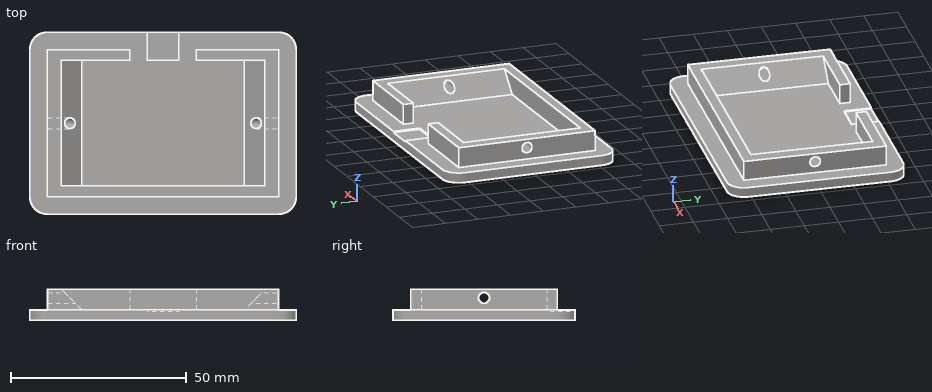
import cadquery as cq

plate_length = 75.8
plate_width = 51.8
plate_thickness = 2.95
total_height = 8.9
margin = 5.0

wall_height = total_height - plate_thickness
wall_length = plate_length - 2 * margin
wall_width = plate_width - 2 * margin
end_rim = 3.95
end_slope_run = 5.9
side_rim = 3.0
cavity_length = wall_length - 2 * end_rim
cavity_width = wall_width - 2 * side_rim

opening_length = 18.95
recess_length = 9.1
recess_width = margin + side_rim
recess_depth = 0.4

hole_diameter = 3.0
hole_below_rim = 2.5


def make_plate():
    plate = cq.Workplane("XY").box(plate_length, plate_width, plate_thickness, centered=(True, True, False))
    return plate.edges("|Z").fillet(margin)


def make_wall():
    block = cq.Workplane("XY", origin=(0, 0, plate_thickness)).box(
        wall_length, wall_width, wall_height, centered=(True, True, False)
    )
    return block.cut(make_cavity()).cut(make_opening())


def make_cavity():
    """Trapezoidal pocket: the long sides are upright, the ends slope inward toward the floor."""
    half_top = cavity_length / 2
    half_floor = half_top - end_slope_run
    profile = [
        (-half_floor, plate_thickness),
        (half_floor, plate_thickness),
        (half_top, total_height),
        (-half_top, total_height),
    ]
    return cq.Workplane("XZ").polyline(profile).close().extrude(cavity_width / 2, both=True)


def make_opening():
    return cq.Workplane("XY", origin=(0, cavity_width / 2, plate_thickness)).box(
        opening_length, side_rim, wall_height, centered=(True, False, False)
    )


def make_recess():
    return cq.Workplane("XY", origin=(0, cavity_width / 2, plate_thickness - recess_depth)).box(
        recess_length, recess_width, recess_depth, centered=(True, False, False)
    )


def make_cross_hole():
    center = (0, 0, total_height - hole_below_rim)
    return cq.Workplane("YZ", origin=center).circle(hole_diameter / 2).extrude(wall_length / 2, both=True)


result = make_plate().union(make_wall()).cut(make_recess()).cut(make_cross_hole())